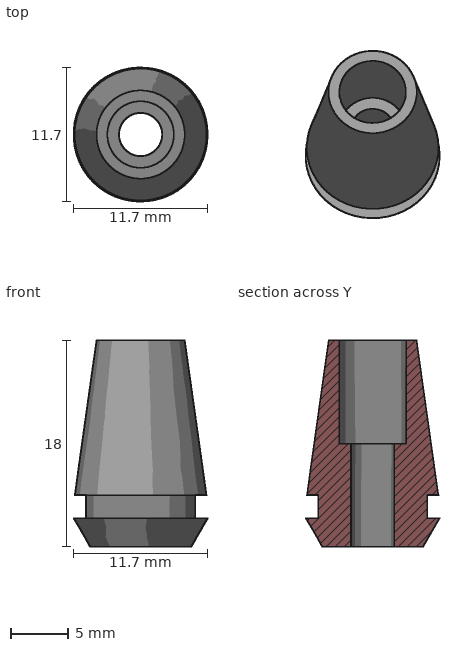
import cadquery as cq
import math

total_height = 18.0
flange_height = 2.5
groove_height = 2.0
groove_bottom = flange_height
groove_top = groove_bottom + groove_height
taper_height = total_height - groove_top

flange_radius = 5.85
flange_angle = 30.0
groove_radius = 4.77
taper_radius = 5.75
taper_angle = 8.0
base_radius = flange_radius - flange_height * math.tan(math.radians(flange_angle))
tip_radius = taper_radius - taper_height * math.tan(math.radians(taper_angle))

bore_radius = 1.87
counterbore_radius = 2.9
counterbore_depth = total_height / 2


def collet_body():
    """Revolve the flange, groove and long taper around Z."""
    profile = [
        (0, 0),
        (base_radius, 0),
        (flange_radius, groove_bottom),
        (groove_radius, groove_bottom),
        (groove_radius, groove_top),
        (taper_radius, groove_top),
        (tip_radius, total_height),
        (0, total_height),
    ]
    return cq.Workplane("XZ").polyline(profile).close().revolve(360, (0, 0, 0), (0, 1, 0))


def stepped_bore():
    """Through bore joined with the wider bore opening at the tip."""
    bore = cq.Workplane("XY").circle(bore_radius).extrude(total_height)
    counterbore = (
        cq.Workplane("XY")
        .workplane(offset=total_height - counterbore_depth)
        .circle(counterbore_radius)
        .extrude(counterbore_depth)
    )
    return bore.union(counterbore)


result = collet_body().cut(stepped_bore())